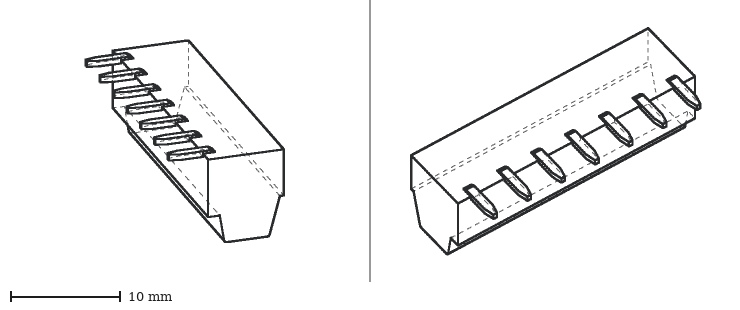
import cadquery as cq

pin_count = 7
body_length = 26.67
pitch = body_length / pin_count

body_depth = 7.3
body_height = 8.45
front_wall_height = 5.7
back_wall_height = 4.6
front_ledge = 1.12
back_ledge = 0.37
bottom_front_inset = 1.57
bottom_back_inset = 1.41
bottom_corner_radius = 0.3

pin_width = 0.9
pin_thickness = 0.55
pin_rise = 0.25
pin_reach = 3.2
pin_embed = 1.17
pin_bevel = 0.4
tip_length = 1.05
tip_width = 0.4


def make_housing():
    """Prismatic block with a tapered lower part, set back by a ledge on both sides."""
    profile = [
        (0, 0),
        (body_depth, 0),
        (body_depth, -back_wall_height),
        (body_depth - back_ledge, -back_wall_height),
        (body_depth - bottom_back_inset, -body_height),
        (bottom_front_inset, -body_height),
        (front_ledge, -front_wall_height),
        (0, -front_wall_height),
    ]
    block = cq.Workplane("YZ").polyline(profile).close().extrude(body_length / 2, both=True)
    return block.faces("<Z").edges("|X").fillet(bottom_corner_radius)


def make_pin():
    """One pin centred on X = 0: tapered tip in plan, sloped rear end where it leaves the top face."""
    outline = [
        (-pin_width / 2, pin_embed),
        (pin_width / 2, pin_embed),
        (pin_width / 2, tip_length - pin_reach),
        (tip_width / 2, -pin_reach),
        (-tip_width / 2, -pin_reach),
        (-pin_width / 2, tip_length - pin_reach),
    ]
    bar = (
        cq.Workplane("XY")
        .workplane(offset=pin_rise - pin_thickness)
        .polyline(outline)
        .close()
        .extrude(pin_thickness)
    )
    bevel_cut = (
        cq.Workplane("YZ")
        .polyline([(pin_embed - pin_bevel, pin_rise), (pin_embed, pin_rise), (pin_embed, 0)])
        .close()
        .extrude(pin_width, both=True)
    )
    return bar.cut(bevel_cut)


result = make_housing()
for index in range(pin_count):
    pin_x = (index - (pin_count - 1) / 2) * pitch
    result = result.union(make_pin().translate((pin_x, 0, 0)))